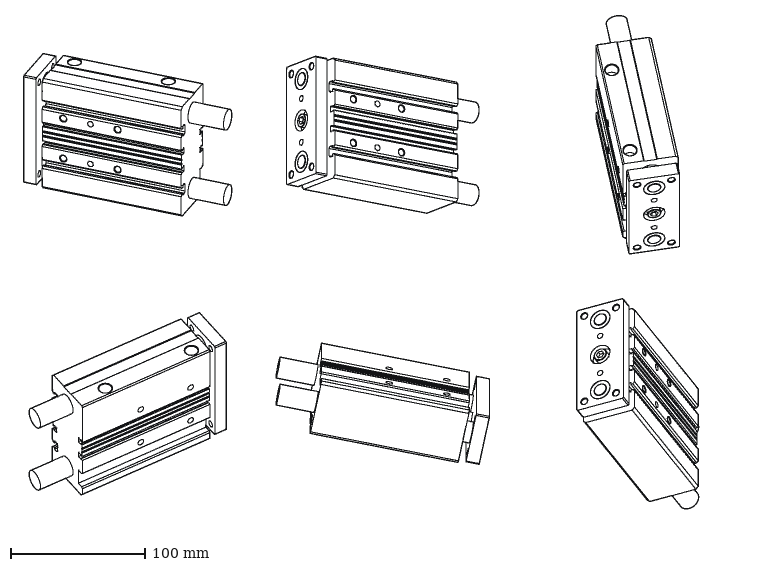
import cadquery as cq
import math

TOTAL_LENGTH = 157.0
OVERSHOOT = 1.5

PLATE_THICKNESS = 10.0
PLATE_WIDTH = 38.5
PLATE_HEIGHT = 91.0
PLATE_CHAMFER = 1.0
PLATE_SCREW_Y = 13.0
PLATE_SCREW_Z = 39.0

HOUSING_START = 15.7
HOUSING_LENGTH = 112.5
HOUSING_WIDTH = 42.0
HOUSING_HEIGHT = 93.0
CORNER_CHAMFER = 2.0
TOP_BACK_CHAMFER = 1.1
FRONT_Y = -HOUSING_WIDTH / 2
BACK_Y = HOUSING_WIDTH / 2
TOP_Z = HOUSING_HEIGHT / 2

GUIDE_DIAMETER = 16.0
GUIDE_Z = 32.0
PISTON_ROD_DIAMETER = 10.0
PISTON_ROD_INSERTION = 47.1
ROD_END_CHAMFER = 0.3
HEX_FLATS = 5.2
HEX_DEPTH = 3.1
PISTON_COUNTERBORE_DEPTH = 5.0

SCREW_DIAMETER = 4.9
SCREW_CHAMFER = 0.5
PIN_DIAMETER = 4.4
PIN_DEPTH = 6.3
PIN_TIP_HEIGHT = 1.3
PIN_Z = 17.0
HOUSING_PIN_X = 54.8
HOUSING_SCREW_SPACING = 44.0

TEE_Z = 25.1
TEE_OPENING = 5.0
TEE_LIP_CHAMFER = 1.4
TEE_LIP_DEPTH = 3.1
TEE_WIDTH = 8.2
TEE_DEPTH = 7.5
TEE_FLOOR_CHAMFER = 1.3

RAIL_WIDTH = 12.0
RAIL_RECESS = 1.0
RAIL_SLOT_WIDTH = 3.3
RAIL_SLOT_DEPTH = 5.7
RAIL_SLOT_LIP_DEPTH = 2.5
RAIL_SLOT_UNDERCUT = 0.5
RAIL_SLOT_CHAMFER = 1.1
RAIL_GROOVE_Z = 1.9
RAIL_GROOVE_WIDTH = 1.4
RAIL_GROOVE_FLOOR = 0.3
RAIL_GROOVE_DEPTH = 0.3

BACK_SLOT_Z = -30.6
BACK_SLOT_WIDTH = 13.5
BACK_SLOT_DEPTH = RAIL_SLOT_DEPTH
BACK_SLOT_CHAMFER = 1.1
CHANNEL_WIDTH = 10.4
CHANNEL_DEPTH = 0.5

PORT_X = (27.3, 103.3)
PORT_Y = 13.5
PORT_DIAMETER = 9.7
PORT_CHAMFER = 0.5
PORT_DEPTH = 9.4
PORT_CONE_HEIGHT = 1.9
PORT_HOLE_DIAMETER = 3.3
PORT_HOLE_DEPTH = 3.1


def revolved_cutter(profile, start, direction):
    """Solid turned about an axis from (radius, depth) points; the last one lies on the axis."""
    points = [(0, 0)] + profile
    turned = cq.Workplane("XZ").polyline(points).close().revolve(360, (0, 0, 0), (0, 1, 0)).val()
    place = cq.Plane(origin=start, normal=direction)
    return turned.moved(cq.Location(place))


def screw_hole(start, direction, length):
    """Through hole with a chamfered mouth."""
    radius = SCREW_DIAMETER / 2
    profile = [
        (radius + SCREW_CHAMFER, 0),
        (radius, SCREW_CHAMFER),
        (radius, length + OVERSHOOT),
        (0, length + OVERSHOOT),
    ]
    return revolved_cutter(profile, start, direction)


def pin_hole(start, direction):
    """Blind drilled hole with a conical tip."""
    radius = PIN_DIAMETER / 2
    profile = [(radius, 0), (radius, PIN_DEPTH), (0, PIN_DEPTH + PIN_TIP_HEIGHT)]
    return revolved_cutter(profile, start, direction)


def port(x):
    """Air port: chamfered bore, cone, and a small hole at the bottom."""
    radius = PORT_DIAMETER / 2
    hole_radius = PORT_HOLE_DIAMETER / 2
    cone_end = PORT_DEPTH + PORT_CONE_HEIGHT
    profile = [
        (radius + PORT_CHAMFER, 0),
        (radius, PORT_CHAMFER),
        (radius, PORT_DEPTH),
        (hole_radius, cone_end),
        (hole_radius, cone_end + PORT_HOLE_DEPTH),
        (0, cone_end + PORT_HOLE_DEPTH),
    ]
    return revolved_cutter(profile, (x, PORT_Y, TOP_Z), (0, 0, -1))


def cylinder_along_x(diameter, start, end, z):
    return cq.Workplane("YZ", origin=(start, 0, z)).circle(diameter / 2).extrude(end - start)


def extrude_along_housing(points):
    """Prism with the given (y, z) outline, as long as the housing."""
    return cq.Workplane("YZ", origin=(HOUSING_START, 0, 0)).polyline(points).close().extrude(HOUSING_LENGTH)


def side_cutter(half_profile, z, face_y):
    """Symmetric slot cutter from (depth, half width) points, sunk into a side face at height z."""
    inward = 1 if face_y < 0 else -1
    upper = [(face_y + inward * depth, z + half) for depth, half in half_profile]
    lower = [(face_y + inward * depth, z - half) for depth, half in reversed(half_profile)]
    return extrude_along_housing(upper + lower)


def tee_slot(z):
    """Tee slot in the front face, with a chamfered mouth and chamfered floor corners."""
    opening = TEE_OPENING / 2
    undercut = TEE_WIDTH / 2
    half_profile = [
        (0, opening + TEE_LIP_CHAMFER),
        (TEE_LIP_CHAMFER, opening),
        (TEE_LIP_DEPTH, opening),
        (TEE_LIP_DEPTH, undercut),
        (TEE_DEPTH - TEE_FLOOR_CHAMFER, undercut),
        (TEE_DEPTH, undercut - TEE_FLOOR_CHAMFER),
    ]
    return side_cutter(half_profile, z, FRONT_Y)


def back_slot():
    """Plain wide slot in the back face, with a chamfered mouth."""
    half = BACK_SLOT_WIDTH / 2
    half_profile = [
        (0, half + BACK_SLOT_CHAMFER),
        (BACK_SLOT_CHAMFER, half),
        (BACK_SLOT_DEPTH, half),
    ]
    return side_cutter(half_profile, BACK_SLOT_Z, BACK_Y)


def rail_cutters(face_y, slot_chamfer):
    """Cutters that leave the grooved middle rail standing, set back from a side face."""
    rail_half = RAIL_WIDTH / 2
    slot_half = rail_half + RAIL_SLOT_WIDTH
    mouth = [(0, slot_half)]
    if slot_chamfer:
        mouth = [(0, slot_half + slot_chamfer), (slot_chamfer, slot_half)]
    slots_and_recess = mouth + [
        (RAIL_SLOT_LIP_DEPTH, slot_half),
        (RAIL_SLOT_LIP_DEPTH, slot_half + RAIL_SLOT_UNDERCUT),
        (RAIL_SLOT_DEPTH, slot_half + RAIL_SLOT_UNDERCUT),
        (RAIL_SLOT_DEPTH, rail_half - RAIL_SLOT_UNDERCUT),
        (RAIL_SLOT_LIP_DEPTH, rail_half - RAIL_SLOT_UNDERCUT),
        (RAIL_SLOT_LIP_DEPTH, rail_half),
        (RAIL_RECESS, rail_half),
    ]
    groove = [
        (RAIL_RECESS, RAIL_GROOVE_WIDTH / 2),
        (RAIL_RECESS + RAIL_GROOVE_DEPTH, RAIL_GROOVE_FLOOR / 2),
    ]
    cutters = [side_cutter(slots_and_recess, 0, face_y)]
    for z in (-RAIL_GROOVE_Z, RAIL_GROOVE_Z):
        cutters.append(side_cutter(groove, z, face_y))
    return cutters


def make_housing():
    """Extruded housing with its slots, rod bores, front holes and air ports."""
    body = extrude_along_housing([
        (FRONT_Y + CORNER_CHAMFER, -TOP_Z),
        (BACK_Y - CORNER_CHAMFER, -TOP_Z),
        (BACK_Y, -TOP_Z + CORNER_CHAMFER),
        (BACK_Y, TOP_Z - TOP_BACK_CHAMFER),
        (BACK_Y - TOP_BACK_CHAMFER, TOP_Z),
        (CHANNEL_WIDTH / 2, TOP_Z),
        (CHANNEL_WIDTH / 2 - CHANNEL_DEPTH, TOP_Z - CHANNEL_DEPTH),
        (-CHANNEL_WIDTH / 2 + CHANNEL_DEPTH, TOP_Z - CHANNEL_DEPTH),
        (-CHANNEL_WIDTH / 2, TOP_Z),
        (FRONT_Y + CORNER_CHAMFER, TOP_Z),
        (FRONT_Y, TOP_Z - CORNER_CHAMFER),
        (FRONT_Y, -TOP_Z + CORNER_CHAMFER),
    ])
    for z in (-TEE_Z, TEE_Z):
        body = body.cut(tee_slot(z))
    body = body.cut(back_slot())
    for cutter in rail_cutters(FRONT_Y, RAIL_SLOT_CHAMFER) + rail_cutters(BACK_Y, 0):
        body = body.cut(cutter)
    housing_end = HOUSING_START + HOUSING_LENGTH
    for z in (-GUIDE_Z, GUIDE_Z):
        body = body.cut(cylinder_along_x(GUIDE_DIAMETER, HOUSING_START, housing_end, z))
    rod_end = HOUSING_START + PISTON_ROD_INSERTION
    body = body.cut(cylinder_along_x(PISTON_ROD_DIAMETER, HOUSING_START, rod_end, 0))
    for z in (-PIN_Z, PIN_Z):
        body = body.cut(pin_hole((HOUSING_PIN_X, FRONT_Y, z), (0, 1, 0)))
        for offset in (-HOUSING_SCREW_SPACING / 2, HOUSING_SCREW_SPACING / 2):
            body = body.cut(screw_hole((HOUSING_PIN_X + offset, FRONT_Y, z), (0, 1, 0), HOUSING_WIDTH))
    for x in PORT_X:
        body = body.cut(port(x))
    return body


def make_plate():
    """End plate that carries the two guide rods and the piston rod."""
    plate = (
        cq.Workplane("YZ")
        .rect(PLATE_WIDTH, PLATE_HEIGHT)
        .extrude(PLATE_THICKNESS)
        .edges("|X")
        .chamfer(PLATE_CHAMFER)
    )
    for z in (-GUIDE_Z, GUIDE_Z):
        plate = plate.cut(cylinder_along_x(GUIDE_DIAMETER, 0, PLATE_THICKNESS, z))
    plate = plate.cut(cylinder_along_x(PISTON_ROD_DIAMETER, 0, PLATE_THICKNESS, 0))
    plate = plate.cut(cylinder_along_x(GUIDE_DIAMETER, 0, PISTON_COUNTERBORE_DEPTH, 0))
    for z in (-PLATE_SCREW_Z, PLATE_SCREW_Z):
        for y in (-PLATE_SCREW_Y, PLATE_SCREW_Y):
            plate = plate.cut(screw_hole((0, y, z), (1, 0, 0), PLATE_THICKNESS))
    for z in (-PIN_Z, PIN_Z):
        plate = plate.cut(pin_hole((0, 0, z), (1, 0, 0)))
    return plate


def make_guide_rod(z):
    """Guide rod, flush with the end plate, with a low chamfered boss turned on its end."""
    rod = cylinder_along_x(GUIDE_DIAMETER, ROD_END_CHAMFER, TOTAL_LENGTH, z)
    boss = (
        cylinder_along_x(PISTON_ROD_DIAMETER, 0, 2 * ROD_END_CHAMFER, z)
        .faces("<X")
        .chamfer(ROD_END_CHAMFER)
    )
    return rod.union(boss)


def make_piston_rod():
    """Piston rod with a chamfered end and a hexagon socket."""
    rod = cylinder_along_x(PISTON_ROD_DIAMETER, 0, HOUSING_START + PISTON_ROD_INSERTION, 0)
    rod = rod.faces("<X").chamfer(ROD_END_CHAMFER)
    hex_corners = HEX_FLATS / math.cos(math.pi / 6)
    socket = cq.Workplane("YZ").polygon(6, hex_corners).extrude(HEX_DEPTH)
    return rod.cut(socket)


housing = make_housing()
plate = make_plate()
guide_rods = [make_guide_rod(z) for z in (-GUIDE_Z, GUIDE_Z)]
piston_rod = make_piston_rod()

result = cq.Compound.makeCompound([
    housing.val(),
    plate.val(),
    *[rod.val() for rod in guide_rods],
    piston_rod.val(),
])